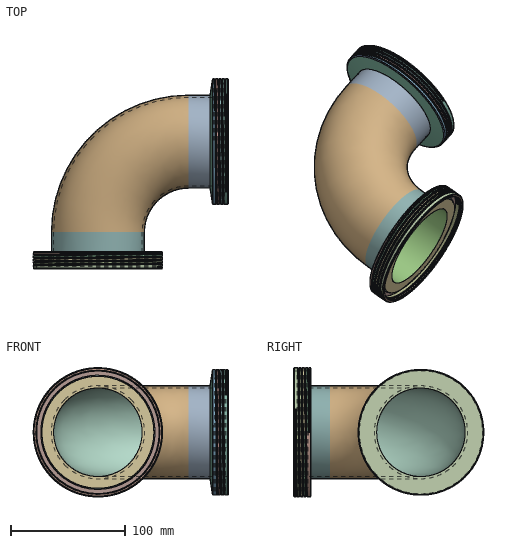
import cadquery as cq

pipe_radius = 40.8
bore_radius = 38.7
bend_radius = 79.3

socket_diameter = 113.0
socket_radius = socket_diameter / 2
socket_length = 15.2
overall_depth = 166.2
seat_depth = 4.1
gutter_depth = 6.5
seat_radius = 49.0
gutter_inner_radius = 50.0
gutter_outer_radius = 53.5
rim_chamfer = 0.7

flange_diameter = 110.0
flange_radius = flange_diameter / 2
socket_end = overall_depth - flange_radius
flange_length = 16.0
overall_length = 170.5
flange_end = overall_length - socket_radius
cone_length = 2.0
cone_tip_radius = 53.9

thread_pitch = 2.9
thread_depth = 0.9
thread_mouth = 1.7
thread_root = 0.6
thread_inset = 1.7


def elbow(radius):
    """Solid bent rod of the given radius, running from the socket's seat to the flange's end face."""
    seat_y = seat_depth - socket_end
    path = (
        cq.Workplane("XY")
        .moveTo(0, seat_y)
        .lineTo(0, -bend_radius)
        .tangentArcPoint((bend_radius, 0), relative=False)
        .lineTo(flange_end, 0)
    )
    return cq.Workplane("XZ", origin=(0, seat_y, 0)).circle(radius).sweep(path)


def thread_groove(crest_radius, start, end, into):
    """Helical V groove about Z, its middle running from height start to end.

    The groove is cut into a wall of crest_radius, outward (into = 1) or inward (into = -1).
    """
    overcut = 0.2
    root_radius = crest_radius + into * thread_depth
    mouth_radius = crest_radius - into * overcut
    helix = cq.Wire.makeHelix(
        thread_pitch, end - start, root_radius, cq.Vector(0, 0, start)
    )
    profile = cq.Workplane("XZ").polyline([
        (root_radius, start - thread_root / 2),
        (mouth_radius, start - thread_mouth / 2),
        (mouth_radius, start + thread_mouth / 2),
        (root_radius, start + thread_root / 2),
    ]).close()
    return profile.sweep(cq.Workplane(obj=helix), isFrenet=True)


def socket():
    """Threaded socket about Z, its rim at Z = socket_length."""
    seat_z = socket_length - seat_depth
    gutter_z = socket_length - gutter_depth
    profile = [
        (0, 0),
        (socket_radius - rim_chamfer, 0),
        (socket_radius, rim_chamfer),
        (socket_radius, socket_length - rim_chamfer),
        (socket_radius - rim_chamfer, socket_length),
        (gutter_outer_radius + rim_chamfer, socket_length),
        (gutter_outer_radius, socket_length - rim_chamfer),
        (gutter_outer_radius, gutter_z),
        (gutter_inner_radius, gutter_z),
        (seat_radius, seat_z),
        (0, seat_z),
    ]
    body = cq.Workplane("XZ").polyline(profile).close().revolve(360, (0, 0), (0, 1))
    thread_end = socket_length - thread_inset
    outer_groove = thread_groove(socket_radius, thread_inset, thread_end, -1)
    inner_groove = thread_groove(gutter_outer_radius, gutter_z + thread_inset, thread_end, 1)
    return body.cut(outer_groove).cut(inner_groove)


def flange():
    """Threaded flange about Z, its flat end at Z = flange_length."""
    profile = [
        (0, 0),
        (pipe_radius, 0),
        (cone_tip_radius, cone_length),
        (flange_radius, cone_length + rim_chamfer),
        (flange_radius, flange_length - rim_chamfer),
        (flange_radius - rim_chamfer, flange_length),
        (0, flange_length),
    ]
    body = cq.Workplane("XZ").polyline(profile).close().revolve(360, (0, 0), (0, 1))
    start = cone_length + thread_inset
    return body.cut(thread_groove(flange_radius, start, flange_length - thread_inset, -1))


socket_end_part = (
    socket()
    .rotate((0, 0, 0), (1, 0, 0), 90)
    .translate((0, socket_length - socket_end, 0))
)
flange_end_part = (
    flange()
    .rotate((0, 0, 0), (0, 1, 0), 90)
    .translate((flange_end - flange_length, 0, 0))
)

pipe = elbow(pipe_radius)
result = pipe.union(socket_end_part).union(flange_end_part).cut(elbow(bore_radius))